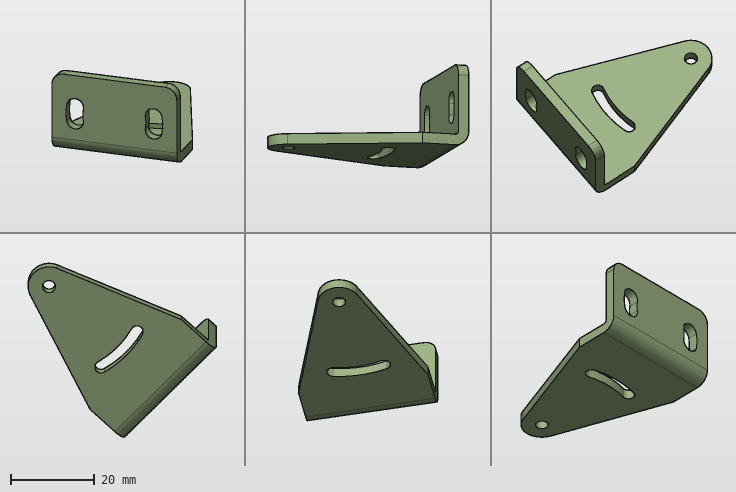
import cadquery as cq
import math

width = 31.75
length = 45.45
height = 20.05
thickness = 2.6
bend_inner_radius = 0.8
bend_outer_radius = bend_inner_radius + thickness

tip_radius = 5.05
shoulder_y = 11.65
pivot_y = length - tip_radius
pivot_diameter = 3.05

base_slot_radius = 24.05
base_slot_width = 3.0
base_slot_half_angle = 15.0

flange_corner_radius = 2.95
flange_slot_center_z = 10.2
flange_slot_radius = 10.15
flange_slot_width = 4.27
flange_slot_half_angle = 10.0


def polar(radius, angle):
    """Point at the given radius and angle in degrees about the origin."""
    return (radius * math.cos(math.radians(angle)), radius * math.sin(math.radians(angle)))


def arc_slot(workplane, radius, slot_width, middle_angle, half_angle, depth):
    """Round-ended slot that follows an arc about the workplane origin."""
    inner = radius - slot_width / 2
    outer = radius + slot_width / 2
    start = middle_angle - half_angle
    end = middle_angle + half_angle
    cap = math.degrees(2 * math.asin(slot_width / 2 / (2 * radius)))
    return (
        workplane.moveTo(*polar(inner, start))
        .threePointArc(polar(inner, middle_angle), polar(inner, end))
        .threePointArc(polar(radius, end + cap), polar(outer, end))
        .threePointArc(polar(outer, middle_angle), polar(outer, start))
        .threePointArc(polar(radius, start - cap), polar(inner, start))
        .close()
        .extrude(depth)
    )


def bent_sheet():
    """L-shaped sheet of full width with a rounded bend."""
    profile = (
        cq.Workplane("YZ")
        .moveTo(bend_outer_radius, 0)
        .lineTo(length, 0)
        .lineTo(length, thickness)
        .lineTo(bend_outer_radius, thickness)
        .radiusArc((thickness, bend_outer_radius), bend_inner_radius)
        .lineTo(thickness, height)
        .lineTo(0, height)
        .lineTo(0, bend_outer_radius)
        .radiusArc((bend_outer_radius, 0), -bend_outer_radius)
        .close()
    )
    sheet = profile.extrude(width / 2, both=True)
    return sheet.edges("|Y and >Z").fillet(flange_corner_radius)


def base_outline():
    """Tapered outline whose sides run tangent into the rounded tip."""
    shoulder_x = width / 2
    rise = pivot_y - shoulder_y
    shoulder_distance = math.hypot(shoulder_x, rise)
    tangent_angle = math.degrees(
        math.acos(tip_radius / shoulder_distance) - math.atan2(rise, shoulder_x)
    )
    tangent_x, tangent_rise = polar(tip_radius, tangent_angle)
    tangent_y = pivot_y + tangent_rise
    return (
        cq.Workplane("XY")
        .moveTo(-shoulder_x, 0)
        .lineTo(shoulder_x, 0)
        .lineTo(shoulder_x, shoulder_y)
        .lineTo(tangent_x, tangent_y)
        .threePointArc((0, length), (-tangent_x, tangent_y))
        .lineTo(-shoulder_x, shoulder_y)
        .close()
        .extrude(height)
    )


bracket = bent_sheet().intersect(base_outline())

pivot_plane = cq.Workplane("XY", origin=(0, pivot_y, 0))
bracket = bracket.cut(pivot_plane.circle(pivot_diameter / 2).extrude(thickness))
bracket = bracket.cut(
    arc_slot(pivot_plane, base_slot_radius, base_slot_width, -90, base_slot_half_angle, thickness)
)

flange_plane = cq.Workplane("XZ", origin=(0, 0, flange_slot_center_z))
for side_angle in (0, 180):
    bracket = bracket.cut(
        arc_slot(
            flange_plane,
            flange_slot_radius,
            flange_slot_width,
            side_angle,
            flange_slot_half_angle,
            -thickness,
        )
    )

result = bracket.translate((0, -length / 2, -height / 2))